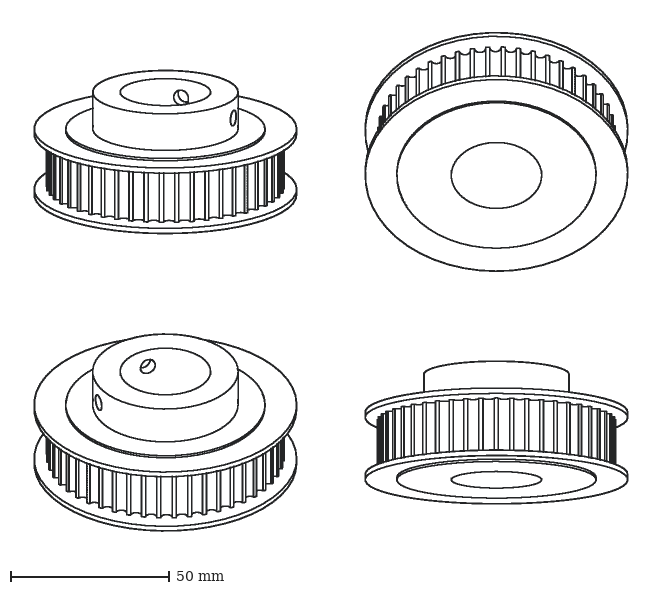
import cadquery as cq
import math

tooth_count = 48
tooth_diameter = 75.3
tooth_length = 16.8
groove_width = 3.6
groove_depth = 2.1
tip_fillet = 0.36

hub_diameter = 46.0
total_height = 33.9
shoulder_diameter = 63.0
bore_diameter = 28.55

flange_diameter = 83.0
bend_diameter = 76.0
flange_thickness = 1.75
flange_rise = 0.75

screw_diameter = 5.0
screw_length = 5.0
screw_angles = [0, 90]

shoulder_height = flange_thickness + flange_rise
tooth_bottom = shoulder_height
tooth_top = tooth_bottom + tooth_length
rim_top = tooth_top + shoulder_height
screw_height = (rim_top + total_height) / 2


def axial_cylinder(diameter, bottom, top):
    """Solid cylinder on the Z axis between two heights."""
    return cq.Workplane("XY").workplane(offset=bottom).circle(diameter / 2).extrude(top - bottom)


def radial_cylinder(angle, start_radius, end_radius):
    """Cylinder of screw diameter that points outward from the axis at screw height."""
    return (
        cq.Workplane("YZ", origin=(start_radius, 0, 0))
        .center(0, screw_height)
        .circle(screw_diameter / 2)
        .extrude(end_radius - start_radius)
        .rotate((0, 0, 0), (0, 0, 1), angle)
    )


def turned(point, angle):
    """Point turned about the Z axis by an angle in radians."""
    x, y = point
    cosine, sine = math.cos(angle), math.sin(angle)
    return (x * cosine - y * sine, x * sine + y * cosine)


def toothed_rim():
    """Rim with round-bottomed belt grooves and rounded tooth tips; one groove is centred on +X."""
    tip_radius = tooth_diameter / 2
    groove_radius = groove_width / 2
    floor_radius = tip_radius - groove_depth
    arc_centre_x = floor_radius + groove_radius
    pitch_angle = 2 * math.pi / tooth_count

    fillet_y = groove_radius + tip_fillet
    fillet_x = math.sqrt((tip_radius - tip_fillet) ** 2 - fillet_y**2)
    tip_angle = math.atan2(fillet_y, fillet_x)
    fillet_mid_angle = (tip_angle - math.pi / 2) / 2
    fillet_mid_x = fillet_x + tip_fillet * math.cos(fillet_mid_angle)
    fillet_mid_y = fillet_y + tip_fillet * math.sin(fillet_mid_angle)

    def on_tip_circle(angle):
        return turned((tip_radius, 0), angle)

    outline = cq.Workplane("XY").workplane(offset=tooth_bottom).moveTo(*on_tip_circle(-tip_angle))
    for index in range(tooth_count):
        angle = index * pitch_angle
        lower_fillet_mid = turned((fillet_mid_x, -fillet_mid_y), angle)
        lower_wall_outer = turned((fillet_x, -groove_radius), angle)
        lower_wall_inner = turned((arc_centre_x, -groove_radius), angle)
        floor_mid = turned((floor_radius, 0), angle)
        upper_wall_inner = turned((arc_centre_x, groove_radius), angle)
        upper_wall_outer = turned((fillet_x, groove_radius), angle)
        upper_fillet_mid = turned((fillet_mid_x, fillet_mid_y), angle)
        tip_start = on_tip_circle(angle + tip_angle)
        tip_mid = on_tip_circle(angle + pitch_angle / 2)
        tip_end = on_tip_circle(angle + pitch_angle - tip_angle)
        outline = (
            outline.threePointArc(lower_fillet_mid, lower_wall_outer)
            .lineTo(*lower_wall_inner)
            .threePointArc(floor_mid, upper_wall_inner)
            .lineTo(*upper_wall_outer)
            .threePointArc(upper_fillet_mid, tip_start)
            .threePointArc(tip_mid, tip_end)
        )
    return outline.close().extrude(tooth_length)


def make_pulley():
    """Toothed rim with two flange shoulders, a hub, a bore and two screw holes."""
    pulley = (
        toothed_rim()
        .union(axial_cylinder(shoulder_diameter, 0, rim_top))
        .union(axial_cylinder(hub_diameter, 0, total_height))
        .cut(axial_cylinder(bore_diameter, 0, total_height))
    )
    for angle in screw_angles:
        pulley = pulley.cut(radial_cylinder(angle, 0, hub_diameter))
    return pulley


def make_flange(tooth_end, outward):
    """Flange seated on a tooth end; outward is +1 for the upper one and -1 for the lower one."""
    flat_outer = tooth_end + outward * flange_thickness
    return (
        cq.Workplane("XZ")
        .moveTo(shoulder_diameter / 2, tooth_end)
        .lineTo(bend_diameter / 2, tooth_end)
        .lineTo(flange_diameter / 2, tooth_end + outward * flange_rise)
        .lineTo(flange_diameter / 2, flat_outer + outward * flange_rise)
        .lineTo(bend_diameter / 2, flat_outer)
        .lineTo(shoulder_diameter / 2, flat_outer)
        .close()
        .revolve(360, (0, 0, 0), (0, 1, 0))
    )


def make_set_screw(angle):
    """Plain set screw whose outer end is level with the hub surface."""
    outer_radius = hub_diameter / 2
    return radial_cylinder(angle, outer_radius - screw_length, outer_radius)


pulley = make_pulley()
flanges = [make_flange(tooth_bottom, -1), make_flange(tooth_top, 1)]
set_screws = [make_set_screw(angle) for angle in screw_angles]

result = cq.Compound.makeCompound([body.val() for body in [pulley, *flanges, *set_screws]])